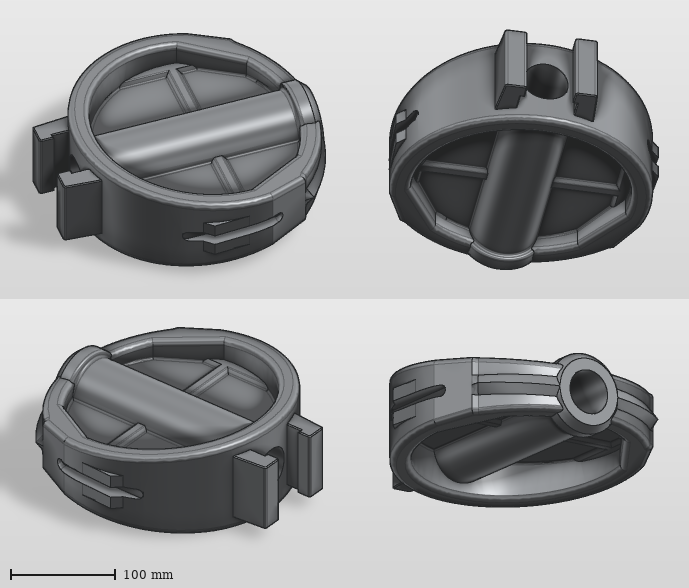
import cadquery as cq
import math


drum_radius = 125.57
flank_front_y = 30.5
flank_back = (104.5, 69.5)
back_arc_radius = 137.0
back_arc_center_y = -22.0
back_arc_end_y = 72.5
back_plane_y = 114.0
half_height_at_center = 36.3
half_height_slope = 0.1105
rim_width = 20.3
rim_round = 6.0
recess_flank_front_y = 14.2
recess_flank_back_y = 72.2
clear = 160.5

ridge_half_height = 10.0
ridge_end = (103.8, 78.5)
ridge_arc_radius = 157.0
ridge_root_y = 69.5

web_half_thickness = 8.0
web_fillet = 2.5
bore_radius = 21.7
pipe_radius = 33.83
collar_radius = 39.9
collar_back_radius = 33.2
collar_chamfer_length = 7.8
collar_land_length = 11.2
collar_step_round = (collar_radius - pipe_radius) / 2

rib_center_y = 7.5
rib_base_half_width = 7.8
rib_height = 4.3
rib_lean = 3.7
rib_round = 1.5
pad_base_x = 92.5
pad_half_length = 69.5
pad_overlap = 2 * rim_width
rib_overlap = rim_width

slot_half_width = 5.5
slot_back_y = 42.3
slot_front_y = -57.5
slot_floor_x = 110.7
lug_root_x = 112.3
lug_back_y = 5.0
lug_front_y = -39.0
lug_peak = (127.3, -30.5)
lug_half_height = 18.5

post_half_height = 35.17
post_root_y = -107.0
post_end_y = -153.5
post_outer_root_x = 48.7
post_outer_end_x = 44.7
post_inner_x = 27.5
hook_tip_x = 23.5
hook_start_y = -139.0
post_corner_round = 2.7
post_edge_chamfer = 1.0


def circle_x(radius, y, center_y=0.0):
    """Half width, at height y, of a circle centred on the Y axis."""
    return math.sqrt(radius**2 - (y - center_y) ** 2)


def mirrored_x(solid):
    return solid.union(solid.mirror("YZ"))


def prism(front_radius, half_outline, back_top_y, half_height):
    """Upright prism: half_outline runs from the front arc to the back arc and is mirrored in X."""
    back_x, back_y = half_outline[-1]
    outline = (
        cq.Workplane("XY", origin=(0, 0, -half_height))
        .polyline(half_outline)
        .threePointArc((0, back_top_y), (-back_x, back_y))
    )
    for x, y in reversed(half_outline[:-1]):
        outline = outline.lineTo(-x, y)
    return outline.threePointArc((0, -front_radius), half_outline[0]).close().extrude(2 * half_height)


def drum_prism():
    half_outline = [
        (circle_x(drum_radius, flank_front_y), flank_front_y),
        flank_back,
        (circle_x(back_arc_radius, back_arc_end_y, back_arc_center_y), back_arc_end_y),
    ]
    return prism(drum_radius, half_outline, back_arc_center_y + back_arc_radius, clear)


def inside_prism():
    """The space enclosed by the rim wall."""
    front_radius = drum_radius - rim_width
    back_radius = back_arc_radius - rim_width
    half_outline = [
        (circle_x(front_radius, recess_flank_front_y), recess_flank_front_y),
        (circle_x(back_radius, recess_flank_back_y, back_arc_center_y), recess_flank_back_y),
    ]
    return prism(front_radius, half_outline, back_arc_center_y + back_radius, clear)


def wedge():
    """Slab whose thickness falls steadily from front to back."""
    thick = half_height_at_center + half_height_slope * clear
    thin = half_height_at_center - half_height_slope * clear
    return (
        cq.Workplane("YZ")
        .polyline([(-clear, -thick), (clear, -thin), (clear, thin), (-clear, thick)])
        .close()
        .extrude(clear, both=True)
    )


def rim():
    ring = drum_prism().cut(inside_prism()).intersect(wedge())
    return ring.faces(">Z or <Z").edges().fillet(rim_round)


def ridge():
    """Triangular ridge whose crest arc stands furthest out at its two ends."""
    root_x = flank_back[0]
    base_x = circle_x(back_arc_radius, back_arc_end_y, back_arc_center_y)
    base_end = (base_x, back_arc_end_y)
    base_top = back_arc_center_y + back_arc_radius
    crest_top = ridge_end[1] - circle_x(ridge_arc_radius, ridge_end[0]) + ridge_arc_radius

    def section(plane, end, top_y):
        return (
            plane.moveTo(root_x, ridge_root_y)
            .lineTo(*end)
            .threePointArc((0, top_y), (-end[0], end[1]))
            .lineTo(-root_x, ridge_root_y)
            .close()
        )

    crest = section(cq.Workplane("XY"), ridge_end, crest_top)
    upper = section(crest.workplane(offset=ridge_half_height), base_end, base_top).loft(ruled=True)
    return upper.union(upper.mirror("XY")).cut(inside_prism())


def pipe():
    start_y = -drum_radius + rim_width / 2
    end_y = back_plane_y - collar_chamfer_length
    return cq.Workplane("XZ", origin=(0, start_y, 0)).circle(pipe_radius).extrude(start_y - end_y)


def drafted_bar(plane, base_start, base_end, length):
    """Bar across the upper half of the web, its flanks leaning in above the web surface."""
    rib_top = web_half_thickness + rib_height
    return (
        cq.Workplane(plane)
        .polyline([
            (base_start, 0),
            (base_end, 0),
            (base_end, web_half_thickness),
            (base_end - rib_lean, rib_top),
            (base_start + rib_lean, rib_top),
            (base_start, web_half_thickness),
        ])
        .close()
        .extrude(length / 2, both=True)
    )


def ribs_and_pads():
    """Cross rib joining a pad at each side wall, with rounded top edges."""
    rib_low = rib_center_y - rib_base_half_width
    rib_high = rib_center_y + rib_base_half_width
    rib = drafted_bar("YZ", rib_low, rib_high, 2 * (pad_base_x + rib_overlap))
    pad = drafted_bar("XZ", pad_base_x, pad_base_x + pad_overlap, 2 * pad_half_length)
    bars = rib.union(mirrored_x(pad))
    inner_x = pad_base_x + rib_lean + rib_round / 2
    top = web_half_thickness + rib_height
    top_edges = cq.selectors.BoxSelector(
        (-inner_x, -pad_half_length / 2, top - rib_round / 2),
        (inner_x, pad_half_length / 2, top + rib_round / 2),
    )
    return bars.edges(top_edges).fillet(rib_round)


def recess():
    """Upper recess between the rim wall, the pipe and the ribs, with a filleted floor."""
    above_web = cq.Workplane("XY", origin=(0, 0, web_half_thickness)).rect(2 * clear, 2 * clear).extrude(clear)
    space = inside_prism().intersect(above_web).cut(ribs_and_pads()).cut(pipe())
    return space.faces("<Z").edges().fillet(web_fillet)


def interior():
    """Web, ribs, pads and pipe: what is left inside the rim once both recesses are taken out."""
    upper = recess()
    return inside_prism().cut(upper).cut(upper.mirror("XY"))


def collar():
    """Ring round the back of the pipe: chamfered behind, stepping down in two quarter rounds ahead."""
    land_back_y = back_plane_y - collar_chamfer_length
    land_front_y = land_back_y - collar_land_length
    step_y = land_front_y - collar_step_round
    front_y = step_y - collar_step_round
    step_radius = collar_radius - collar_step_round
    half_root = math.sqrt(0.5) * collar_step_round
    return (
        cq.Workplane("XY")
        .moveTo(0, back_plane_y)
        .lineTo(collar_back_radius, back_plane_y)
        .lineTo(collar_radius, land_back_y)
        .lineTo(collar_radius, land_front_y)
        .threePointArc((step_radius + half_root, land_front_y - half_root), (step_radius, step_y))
        .threePointArc((step_radius - half_root, front_y + half_root), (pipe_radius, front_y))
        .lineTo(0, front_y)
        .close()
        .revolve(360, (0, 0, 0), (0, 1, 0))
    )


def side_slot():
    return (
        cq.Workplane("YZ", origin=(slot_floor_x, 0, 0))
        .center((slot_back_y + slot_front_y) / 2, 0)
        .slot2D(slot_back_y - slot_front_y, 2 * slot_half_width)
        .extrude(drum_radius)
    )


def side_lugs():
    outline = [
        (lug_root_x, lug_back_y),
        (circle_x(drum_radius, lug_back_y), lug_back_y),
        lug_peak,
        (circle_x(drum_radius, lug_front_y), lug_front_y),
        (lug_root_x, lug_front_y),
    ]
    upper = (
        cq.Workplane("XY", origin=(0, 0, slot_half_width))
        .polyline(outline)
        .close()
        .extrude(lug_half_height - slot_half_width)
    )
    return upper.union(upper.mirror("XY"))


def post():
    body = (
        cq.Workplane("XY", origin=(0, 0, -post_half_height))
        .polyline([
            (post_inner_x, post_root_y),
            (post_outer_root_x, post_root_y),
            (post_outer_end_x, post_end_y),
            (hook_tip_x, post_end_y),
            (hook_tip_x, hook_start_y),
            (post_inner_x, hook_start_y),
        ])
        .close()
        .extrude(2 * post_half_height)
    )
    return body.edges("|Z and <Y").fillet(post_corner_round).faces("|Z").edges().chamfer(post_edge_chamfer)


beyond_back = (
    cq.Workplane("XY")
    .box(2 * clear, clear, 2 * clear)
    .translate((0, back_plane_y + clear / 2, 0))
)
bore = cq.Workplane("XZ").circle(bore_radius).extrude(clear, both=True)

solid = rim().union(ridge()).union(interior()).union(pipe()).union(collar())
solid = solid.cut(beyond_back)
solid = solid.cut(mirrored_x(side_slot()))
solid = solid.union(mirrored_x(side_lugs())).union(mirrored_x(post()))
result = solid.cut(bore)